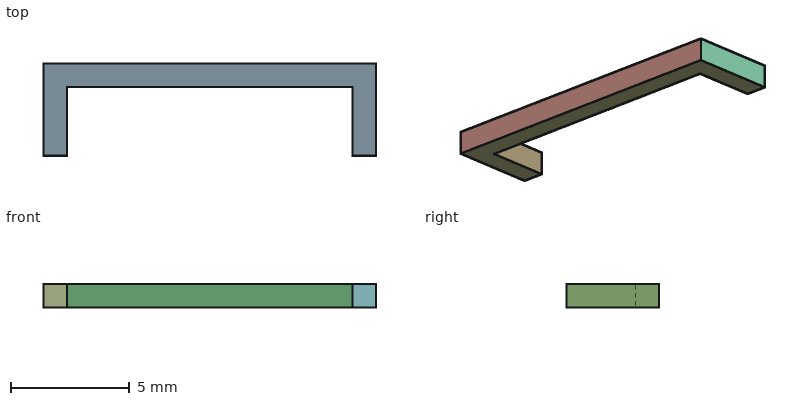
import cadquery as cq

length = 14.0
leg_reach = 3.9
bar_width = 1.0
bar_height = 1.0

gap_length = length - 2 * bar_width
gap_depth = leg_reach - bar_width


def staple_outline():
    """U-shaped outline centred on X, with its legs pointing toward -Y."""
    outer_x = length / 2
    inner_x = gap_length / 2
    back_y = leg_reach / 2
    leg_end_y = -leg_reach / 2
    gap_end_y = leg_end_y + gap_depth
    return (
        cq.Workplane("XY")
        .moveTo(-outer_x, leg_end_y)
        .lineTo(-inner_x, leg_end_y)
        .lineTo(-inner_x, gap_end_y)
        .lineTo(inner_x, gap_end_y)
        .lineTo(inner_x, leg_end_y)
        .lineTo(outer_x, leg_end_y)
        .lineTo(outer_x, back_y)
        .lineTo(-outer_x, back_y)
        .close()
    )


result = staple_outline().extrude(bar_height)